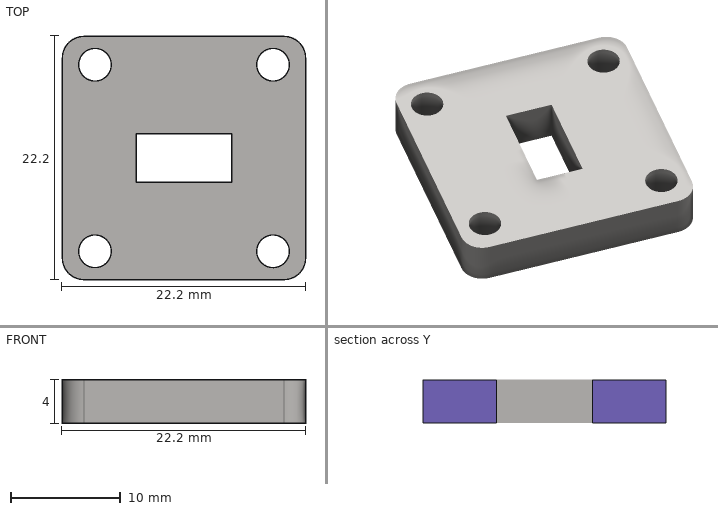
import cadquery as cq

plate_side = 22.23
plate_thickness = 4.0
corner_radius = 2.0

window_length = 8.71
window_width = 4.4

hole_diameter = 2.95
hole_spacing_x = 16.25
hole_spacing_y = 17.03

plate = (
    cq.Workplane("XY")
    .rect(plate_side, plate_side)
    .extrude(plate_thickness)
    .edges("|Z")
    .fillet(corner_radius)
)

flange = plate.faces(">Z").workplane().rect(window_length, window_width).cutThruAll()

result = (
    flange.faces(">Z")
    .workplane()
    .rect(hole_spacing_x, hole_spacing_y, forConstruction=True)
    .vertices()
    .hole(hole_diameter)
)